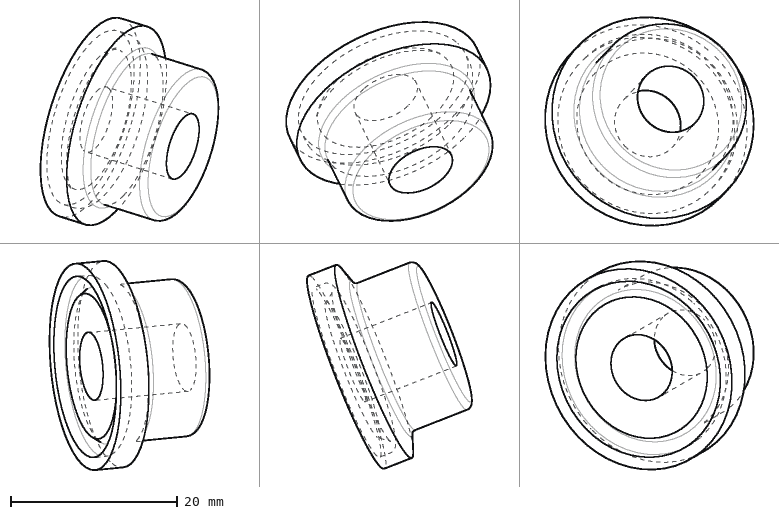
import cadquery as cq
import math

total_length = 12.7
flange_radius = 25 / 2
hub_radius = 19.05 / 2
bore_radius = 8.2 / 2

rim_width = 3.6
back_angle = math.radians(20)
back_depth = (flange_radius - hub_radius) * math.tan(back_angle)
hub_start = rim_width + back_depth

root_radius = 0.8
end_radius = 0.75

groove_outer_radius = 21.9 / 2
face_recess = 0.8
face_radius = 8.8
groove_wall_depth = 1.37
groove_round = 0.8


def axial_ring(outline):
    """Close an (x, radius) outline and turn it about the X axis."""
    return outline.close().revolve(360, (0, 0, 0), (1, 0, 0))


def make_blank():
    """Flange, conical back and hub in one turned outline, with the hub rounds and the bore."""
    root_tangent = root_radius * math.tan((math.pi / 2 - back_angle) / 2)
    root_on_cone = (
        hub_start - root_tangent * math.sin(back_angle),
        hub_radius + root_tangent * math.cos(back_angle),
    )
    root_on_hub = (hub_start + root_tangent, hub_radius)
    outline = (
        cq.Workplane("XY")
        .moveTo(0, bore_radius)
        .lineTo(0, flange_radius)
        .lineTo(rim_width, flange_radius)
        .lineTo(*root_on_cone)
        .radiusArc(root_on_hub, -root_radius)
        .lineTo(total_length - end_radius, hub_radius)
        .radiusArc((total_length, hub_radius - end_radius), end_radius)
        .lineTo(total_length, bore_radius)
    )
    return axial_ring(outline)


def make_face_recess():
    """Recessed face, its conical edge and the round-bottomed gasket groove around it."""
    round_r = groove_outer_radius - groove_round
    to_centre_x = groove_wall_depth - face_recess
    to_centre_r = round_r - face_radius
    centre_angle = math.atan2(to_centre_r, to_centre_x)
    edge_angle = centre_angle - math.asin(groove_round / math.hypot(to_centre_x, to_centre_r))
    edge_end = (
        groove_wall_depth + groove_round * math.sin(edge_angle),
        round_r - groove_round * math.cos(edge_angle),
    )
    groove_bottom = (groove_wall_depth + groove_round, round_r)
    outline = (
        cq.Workplane("XY")
        .moveTo(0, 0)
        .lineTo(face_recess, 0)
        .lineTo(face_recess, face_radius)
        .lineTo(*edge_end)
        .threePointArc(groove_bottom, (groove_wall_depth, groove_outer_radius))
        .lineTo(0, groove_outer_radius)
    )
    return axial_ring(outline)


result = make_blank().cut(make_face_recess())